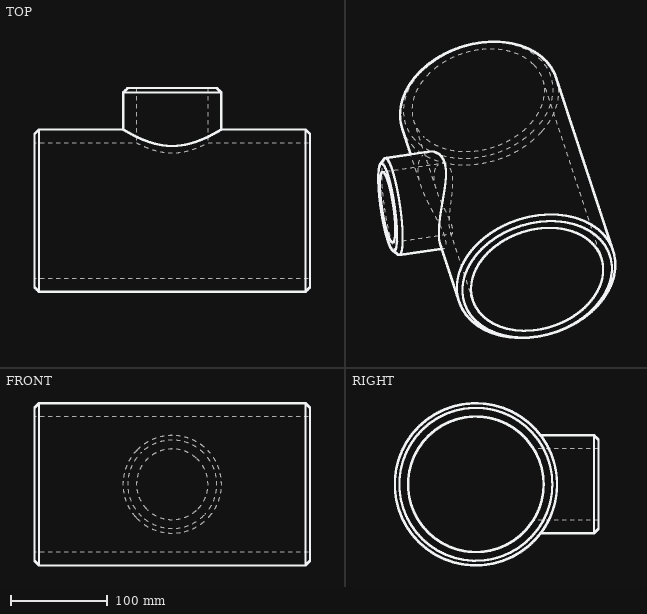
import cadquery as cq

run_length = 285.5
run_diameter = 168.2
run_bore = 140.2
branch_diameter = 101.5
branch_reach = 211.3 - run_diameter / 2
wall = (run_diameter - run_bore) / 2
branch_bore = branch_diameter - 2 * wall
end_bevel = 4.9


def run_cylinder(diameter):
    """Cylinder along X, centred on the origin."""
    return cq.Workplane("YZ").circle(diameter / 2).extrude(run_length / 2, both=True)


def branch_cylinder(diameter):
    """Cylinder along +Y, starting on the main axis."""
    return cq.Workplane("XZ").circle(diameter / 2).extrude(-branch_reach)


run_body = run_cylinder(run_diameter).faces("<X or >X").edges().chamfer(end_bevel)
branch_body = branch_cylinder(branch_diameter).faces(">Y").edges().chamfer(end_bevel)

result = (
    run_body.union(branch_body)
    .cut(run_cylinder(run_bore))
    .cut(branch_cylinder(branch_bore))
)